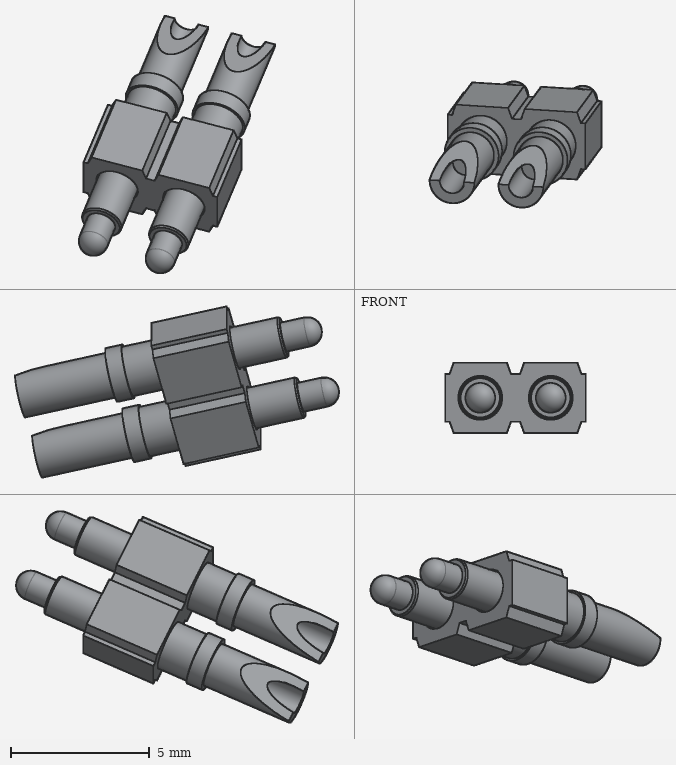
import cadquery as cq


contact_pitch = 2.54
contact_xs = [-contact_pitch / 2, contact_pitch / 2]

overall_length = 11.2
barrel_front_y = 1.4
housing_front_y = 3.21
housing_length = 2.8
flange_front_y = 7.2
flange_length = 0.6
housing_back_y = housing_front_y + housing_length
flange_back_y = flange_front_y + flange_length

housing_height = contact_pitch
housing_width = 2 * contact_pitch
web_height = 1.74
block_top_width = 1.93
block_root_width = 2.22
front_hole_radius = 0.8

barrel_nose_radius = 0.75
barrel_body_radius = 0.92
barrel_chamfer_length = 0.07
barrel_chamfer_depth = 0.05
barrel_shoulder_y = housing_front_y + housing_length / 2

plunger_radius = 0.54
plunger_back_y = housing_front_y

flange_radius = 1.0
cup_radius = 0.83
cup_bore_radius = 0.45
cup_bevel_length = 2.27
cup_bore_depth = cup_bevel_length


def rod(radius, start_y, end_y):
    """Cylinder on the Y axis between two stations."""
    return cq.Workplane("XZ", origin=(0, start_y, 0)).circle(radius).extrude(start_y - end_y)


def make_housing():
    web = cq.Workplane("XY").box(housing_width, housing_length, web_height)
    housing = web.translate((0, (housing_front_y + housing_back_y) / 2, 0))

    top = housing_height / 2
    root = web_height / 2
    block_profile = [
        (-block_top_width / 2, top),
        (block_top_width / 2, top),
        (block_root_width / 2, root),
        (block_root_width / 2, -root),
        (block_top_width / 2, -top),
        (-block_top_width / 2, -top),
        (-block_root_width / 2, -root),
        (-block_root_width / 2, root),
    ]
    block = (
        cq.Workplane("XZ", origin=(0, housing_front_y, 0))
        .polyline(block_profile)
        .close()
        .extrude(-housing_length)
    )
    for x in contact_xs:
        housing = housing.union(block.translate((x, 0, 0)))

    front_hole = rod(front_hole_radius, housing_front_y, barrel_shoulder_y)
    back_hole = rod(barrel_body_radius, barrel_shoulder_y, housing_back_y)
    for x in contact_xs:
        housing = housing.cut(front_hole.translate((x, 0, 0)))
        housing = housing.cut(back_hole.translate((x, 0, 0)))
    return housing


def make_barrel(x):
    nose = rod(barrel_nose_radius, barrel_front_y, barrel_shoulder_y)
    nose = nose.faces("<Y").chamfer(barrel_chamfer_length, barrel_chamfer_depth)
    body = rod(barrel_body_radius, barrel_shoulder_y, flange_front_y)
    plunger_bore = rod(plunger_radius, barrel_front_y, plunger_back_y)
    return nose.union(body).cut(plunger_bore).translate((x, 0, 0))


def make_plunger(x):
    shank = rod(plunger_radius, plunger_radius, plunger_back_y)
    dome = cq.Workplane("XY").sphere(plunger_radius).translate((0, plunger_radius, 0))
    return shank.union(dome).translate((x, 0, 0))


def make_solder_cup(x):
    flange = rod(flange_radius, flange_front_y, flange_back_y)
    cup = rod(cup_radius, flange_back_y, overall_length)
    bore = rod(cup_bore_radius, overall_length - cup_bore_depth, overall_length)
    bevel = (
        cq.Workplane("YZ")
        .moveTo(overall_length, 0)
        .lineTo(overall_length, cup_radius)
        .lineTo(overall_length - cup_bevel_length, cup_radius)
        .close()
        .extrude(cup_radius, both=True)
    )
    return flange.union(cup).cut(bore).cut(bevel).translate((x, 0, 0))


housing = make_housing()
barrels = [make_barrel(x) for x in contact_xs]
plungers = [make_plunger(x) for x in contact_xs]
solder_cups = [make_solder_cup(x) for x in contact_xs]

contacts = barrels + plungers + solder_cups
result = cq.Compound.makeCompound([housing.val(), *[body.val() for body in contacts]])